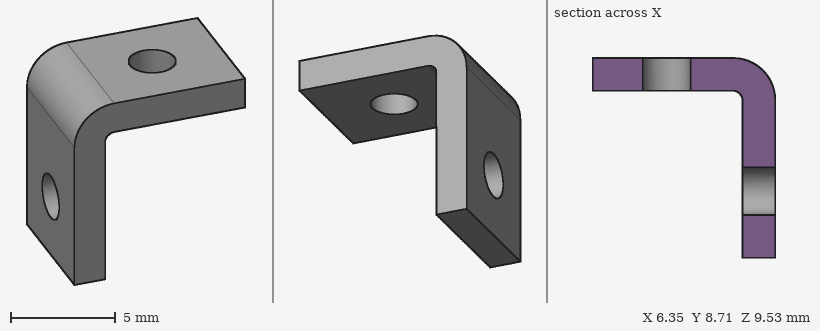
import cadquery as cq

width = 6.35
depth = 8.71
height = 9.53

thickness = 1.57
inner_bend_radius = 0.45
outer_bend_radius = inner_bend_radius + thickness

hole_diameter = 2.26
top_hole_from_end = 3.53
front_hole_from_end = 3.17


def bent_sheet():
    """L-shaped sheet: front leg on Y = 0, top leg running toward +Y."""
    block = cq.Workplane("XY").box(width, depth, height, centered=(True, False, False))
    block = block.edges("|X and <Y and >Z").fillet(outer_bend_radius)
    inside = (
        cq.Workplane("XY")
        .box(width, depth - thickness, height - thickness, centered=(True, False, False))
        .translate((0, thickness, 0))
        .edges("|X and <Y and >Z")
        .fillet(inner_bend_radius)
    )
    return block.cut(inside)


def hole_tool(start, direction):
    """Cylinder that passes through one sheet thickness."""
    return cq.Workplane(cq.Solid.makeCylinder(hole_diameter / 2, thickness, start, direction))


top_hole = hole_tool(
    cq.Vector(0, depth - top_hole_from_end, height - thickness),
    cq.Vector(0, 0, 1),
)
front_hole = hole_tool(
    cq.Vector(0, 0, front_hole_from_end),
    cq.Vector(0, 1, 0),
)

result = bent_sheet().cut(top_hole).cut(front_hole)